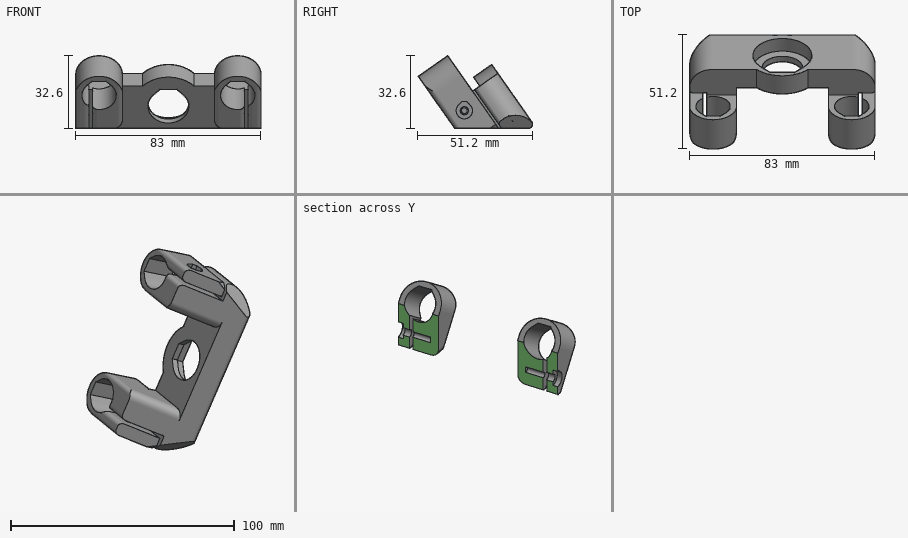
import cadquery as cq
import math

TILT = 125.0
LENGTH = 83.0
TOP_HEIGHT = 24.65
DEEP = 66.4

BAR_THICKNESS = 10.0
ARM_WIDTH = 21.0
ARM_FRONT = 30.0
BORE_HEIGHT = 8.9
BORE_DIAMETER = 15.35

HUB_DROP = 11.0
HUB_RADIUS = 15.9
HUB_HOLE_DIAMETER = 18.3
HUB_POCKET_DIAMETER = 26.3
HUB_POCKET_DEPTH = 6.9

RELIEF_BACK = 12.8
RELIEF_FRONT = 13.9
SLOT_OUTER = 5.9
SLOT_INNER = 7.55

SCREW_DROP = 5.1
SCREW_HEAD_DIAMETER = 7.3
SCREW_HEAD_DEPTH = 2.5
SCREW_HEAD_CROWN = 4.15
SCREW_CLEARANCE_DIAMETER = 3.65
SCREW_THREAD_DIAMETER = 2.6
SCREW_DEPTH = 16.6

EDGE_RADIUS = 2.1
RELIEF_RADIUS = 1.7
BACK_BASE_RADIUS = 1.9
INNER_BASE_RADIUS = 4.15
CHAMFER_DROP = 18.1

half = LENGTH / 2
arm_radius = ARM_WIDTH / 2
arm_x = half - arm_radius
arm_inner = half - ARM_WIDTH
screw_forward = (RELIEF_FRONT + ARM_FRONT) / 2


def block(x, y, z):
    """Box spanning the given (low, high) pairs."""
    size = [high - low for low, high in (x, y, z)]
    return cq.Workplane("XY").box(*size, centered=False).translate((x[0], y[0], z[0]))


def rod(x, y, z_low, z_high, diameter):
    """Cylinder running forward."""
    start = cq.Workplane("XY", origin=(x, y, z_low))
    return start.circle(diameter / 2).extrude(z_high - z_low)


def roofed_hole(plane, depth, diameter, crown):
    """Round hole cutter whose upper part is two 45 degree flanks under a flat roof at height crown."""
    radius = diameter / 2
    tangent = radius * math.sqrt(0.5)
    roof_half = radius * math.sqrt(2) - crown
    return (
        cq.Workplane(plane)
        .moveTo(-tangent, tangent)
        .lineTo(-roof_half, crown)
        .lineTo(roof_half, crown)
        .lineTo(tangent, tangent)
        .threePointArc((0, -radius), (-tangent, tangent))
        .close()
        .extrude(depth)
    )


def forward_hole(x, y, depth, diameter):
    """Roofed hole starting at the back of the bar, its roof level with the top of the circle."""
    return roofed_hole(cq.Plane(origin=(x, y, 0)), depth, diameter, diameter / 2)


def screw_head_recess():
    """Roofed recess whose roof is horizontal in the final position."""
    rise_up = math.sin(math.radians(TILT))
    rise_forward = math.cos(math.radians(TILT))
    plane = cq.Plane(
        origin=(half, -SCREW_DROP, screw_forward),
        xDir=(0, -rise_forward, rise_up),
        normal=(-1, 0, 0),
    )
    return roofed_hole(plane, SCREW_HEAD_DEPTH, SCREW_HEAD_DIAMETER, SCREW_HEAD_CROWN)


def cross_rod(depth, diameter):
    """Screw bore running inward from the outer side of the right arm."""
    start = cq.Vector(half, -SCREW_DROP, screw_forward)
    return cq.Workplane(cq.Solid.makeCylinder(diameter / 2, depth, start, cq.Vector(-1, 0, 0)))


def upright_edge(x, z):
    """Selector for the vertical edges at one place across and forward."""
    reach = 0.04
    return cq.selectors.BoxSelector((x - reach, -DEEP, z - reach), (x + reach, DEEP, z + reach))


def trim_base(body):
    """Remove everything below the final horizontal base plane."""
    cutter = block((-LENGTH, LENGTH), (-LENGTH, LENGTH), (-LENGTH, 0))
    cutter = cutter.translate((0, 0, -TOP_HEIGHT)).rotate((0, 0, 0), (1, 0, 0), -TILT)
    return body.cut(cutter)


def make_bar():
    bar = trim_base(block((-half, half), (-DEEP, 0), (0, BAR_THICKNESS)))
    bar = bar.edges("|X and <Y").fillet(BACK_BASE_RADIUS)
    footprint = (
        cq.Workplane("XZ", origin=(0, HUB_RADIUS, 0))
        .moveTo(-half, BAR_THICKNESS)
        .radiusArc((-half + BAR_THICKNESS, 0), -BAR_THICKNESS)
        .lineTo(half - BAR_THICKNESS, 0)
        .radiusArc((half, BAR_THICKNESS), -BAR_THICKNESS)
        .close()
        .extrude(2 * DEEP)
    )
    bar = bar.intersect(footprint)
    return bar.union(rod(0, -HUB_DROP, 0, BAR_THICKNESS, 2 * HUB_RADIUS))


def make_arm():
    """Right arm with its bore, relief slit, clamp slot and screw bore."""
    arm = block((arm_inner, half), (-DEEP, BORE_HEIGHT), (BAR_THICKNESS, ARM_FRONT))
    arm = trim_base(arm)
    arm = arm.faces("<X").edges("not(|Y or |Z)").fillet(INNER_BASE_RADIUS)
    arm = arm.union(rod(arm_x, BORE_HEIGHT, BAR_THICKNESS, ARM_FRONT, ARM_WIDTH))
    arm = arm.cut(block((0, LENGTH), (0, DEEP), (0, RELIEF_FRONT)))
    arm = arm.cut(forward_hole(arm_x, BORE_HEIGHT, ARM_FRONT, BORE_DIAMETER))

    outline = block((arm_inner, half), (-DEEP, DEEP), (0, ARM_FRONT))
    outline = outline.edges("|Y and >Z").fillet(EDGE_RADIUS)
    arm = arm.intersect(outline)

    slot = block((half - SLOT_INNER, half - SLOT_OUTER), (-DEEP, BORE_HEIGHT), (RELIEF_BACK, LENGTH))
    relief = block((half - SLOT_INNER, LENGTH), (-DEEP, BORE_HEIGHT), (RELIEF_BACK, RELIEF_FRONT))
    arm = arm.cut(slot).cut(relief)
    for offset in (SLOT_OUTER, SLOT_INNER):
        arm = arm.edges(upright_edge(half - offset, ARM_FRONT)).fillet(EDGE_RADIUS)
    arm = arm.edges(upright_edge(half, RELIEF_BACK)).fillet(RELIEF_RADIUS)

    arm = arm.cut(screw_head_recess())
    arm = arm.cut(cross_rod(SLOT_INNER, SCREW_CLEARANCE_DIAMETER))
    return arm.cut(cross_rod(SCREW_DEPTH, SCREW_THREAD_DIAMETER))


def end_chamfer():
    """Wedge removing the lower outer corner of the right end."""
    return (
        cq.Workplane("XY")
        .polyline([(half, -CHAMFER_DROP), (half, -CHAMFER_DROP - half), (0, -CHAMFER_DROP - half)])
        .close()
        .extrude(ARM_FRONT)
    )


arm = make_arm()
body = make_bar().union(arm).union(arm.mirror("YZ"))
body = body.cut(end_chamfer()).cut(end_chamfer().mirror("YZ"))
body = body.cut(forward_hole(0, -HUB_DROP, BAR_THICKNESS, HUB_HOLE_DIAMETER))
body = body.cut(forward_hole(0, -HUB_DROP, HUB_POCKET_DEPTH, HUB_POCKET_DIAMETER))
body = trim_base(body)
result = body.rotate((0, 0, 0), (1, 0, 0), TILT).translate((0, 0, TOP_HEIGHT))